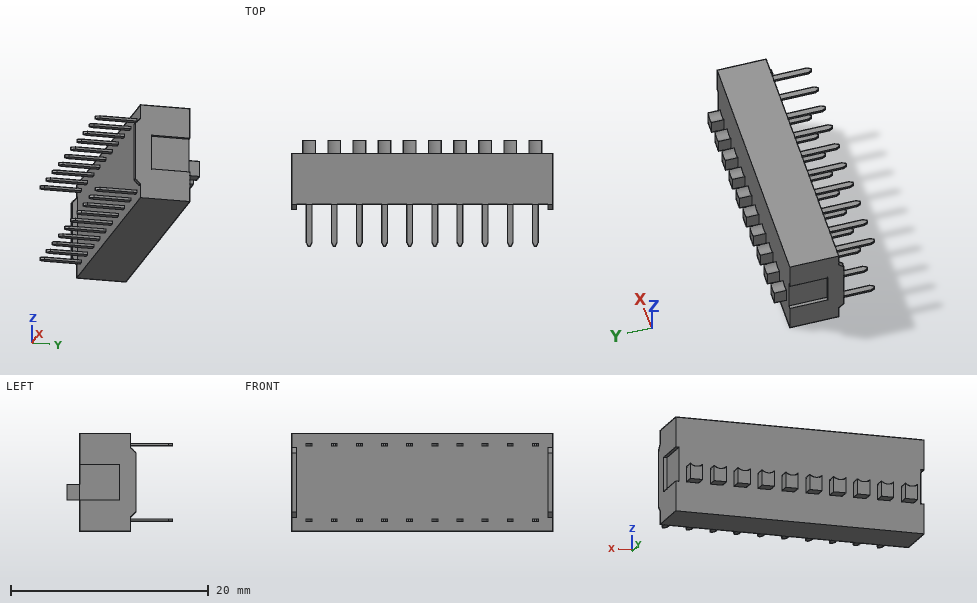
import cadquery as cq

switch_count = 10
pitch = 2.54
row_spacing = 7.62

body_length = 26.4
body_depth = 5.15
body_height = 9.9

rib_width = 0.5
rib_projection = 0.55
rib_base_height = 7.05
rib_crest_height = rib_base_height - 2 * rib_projection

recess_depth = 0.35
recess_length = 4.0
recess_height = 3.6

knob_width = 1.3
knob_height = 1.6
knob_projection = 1.3
knob_hollow = 0.25

pin_width = 0.6
pin_thickness = 0.25
pin_length = 4.25
pin_tip_width = 0.2
pin_tip_length = 0.4

front_y = -body_depth / 2
back_y = body_depth / 2
end_x = body_length / 2
knob_bottom_z = -recess_height / 2
switch_xs = [(i - (switch_count - 1) / 2) * pitch for i in range(switch_count)]


def make_body():
    """Rectangular housing with a recess in each end face."""
    body = cq.Workplane("XY").box(body_length, body_depth, body_height)
    for side in (-1, 1):
        recess = cq.Workplane("XY").box(recess_depth, recess_length, recess_height).translate(
            (side * (end_x - recess_depth / 2), back_y - recess_length / 2, 0)
        )
        body = body.cut(recess)
    return body


def make_rib(side):
    """Stand-off rib with 45 degree ends, flush with one end face."""
    crest_y = front_y - rib_projection
    profile = [
        (front_y, -rib_base_height / 2),
        (crest_y, -rib_crest_height / 2),
        (crest_y, rib_crest_height / 2),
        (front_y, rib_base_height / 2),
    ]
    rib = cq.Workplane("YZ").polyline(profile).close().extrude(rib_width / 2, both=True)
    return rib.translate((side * (end_x - rib_width / 2), 0, 0))


def make_knob(x):
    """Slider knob whose upper face is hollowed along Y to fit a fingertip."""
    half_width = knob_width / 2
    top_z = knob_bottom_z + knob_height
    return (
        cq.Workplane("XZ", origin=(x, back_y, 0))
        .moveTo(-half_width, knob_bottom_z)
        .lineTo(half_width, knob_bottom_z)
        .lineTo(half_width, top_z)
        .threePointArc((0, top_z - knob_hollow), (-half_width, top_z))
        .close()
        .extrude(-knob_projection)
    )


def make_pin(x, z):
    """Flat pin reaching toward -Y and narrowing at its tip."""
    tip_y = front_y - pin_length
    shoulder_y = tip_y + pin_tip_length
    outline = [
        (-pin_width / 2, front_y),
        (-pin_width / 2, shoulder_y),
        (-pin_tip_width / 2, tip_y),
        (pin_tip_width / 2, tip_y),
        (pin_width / 2, shoulder_y),
        (pin_width / 2, front_y),
    ]
    pin = cq.Workplane("XY").polyline(outline).close().extrude(pin_thickness / 2, both=True)
    return pin.translate((x, 0, z))


result = make_body()
for end_side in (-1, 1):
    result = result.union(make_rib(end_side))
for switch_x in switch_xs:
    result = result.union(make_knob(switch_x))
    for row_side in (-1, 1):
        result = result.union(make_pin(switch_x, row_side * row_spacing / 2))